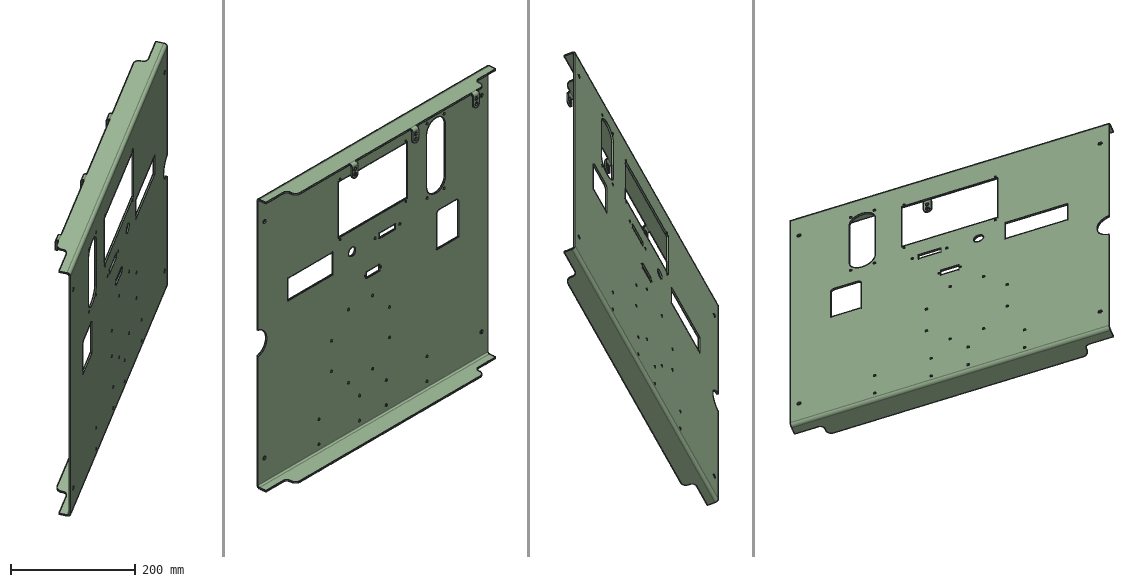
import cadquery as cq
import math

side = 550.0
half_side = side / 2
sheet = 3.0
bend_outer = 6.0
bend_inner = bend_outer - sheet

flange_depth = 40.0
flange_end_depth = 20.0
flange_step = 49.5
step_corner_radius = 10.0
step_inner_radius = 7.5

hook_depth = 46.0
hook_width = 14.0
hook_drop = 28.0
hook_pitch = 145.0
hook_middle_y = -55.0
hook_hole_diameter = 6.0
hook_hole_drops = (11.0, 21.0)

mount_hole_diameter = 6.5
mount_hole_y = 259.5
mount_hole_z = 224.5
screw_diameter = 4.1
small_screw_diameter = 3.0

screen_center = (0.0, 164.5)
screen_size = (165.5, 106.5)
screen_screw_center = (0.0, 164.0)
screen_screw_spacing = (157.5, 115.0)

slot_center = (-150.5, 160.5)
slot_width = 45.0
slot_length = 143.0
slot_screw_center = (-150.0, 160.0)
slot_screw_spacing = (40.5, 141.5)

display_center = (149.5, 69.5)
display_size = (108.5, 43.0)

button_center = (50.0, 70.5)
button_diameter = 17.0

reader_center = (-34.5, 70.5)
reader_size = (39.0, 10.5)
reader_screw_spacing = 59.5

port_center = (0.0, 10.0)
port_size = (32.0, 12.5)
port_screw_spacing = 37.0

tray_center = (-179.0, 17.5)
tray_size = (53.0, 73.5)
tray_corner_radius = 6.5

notch_radius = 25.5
notch_center = (half_side + 4.5, 0.0)

emblem_center = (29.5, -105.0)
emblem_screw_circle = 75.5
emblem_screw_count = 8

sign_screw_columns = (-129.0, -32.0, 32.0, 129.0)
sign_screw_rows = (-211.0, -258.5)


def around(center, spacing):
    """Four corner points of a rectangle of the given spacing."""
    return [
        (center[0] + sy * spacing[0] / 2, center[1] + sz * spacing[1] / 2)
        for sy in (-1, 1)
        for sz in (-1, 1)
    ]


def beside(center, spacing):
    """Two points spaced along Y on either side of a center."""
    return [(center[0] - spacing / 2, center[1]), (center[0] + spacing / 2, center[1])]


def panel_plane():
    """Sketch plane whose local x and y are the part's Y and Z."""
    return cq.Workplane("YZ", origin=(-hook_depth, 0, 0))


def make_folded_sheet():
    """C-shaped folded sheet over the full width, outer face of the panel on X = 0."""
    outer = (
        cq.Workplane("XZ", origin=(0, half_side, 0))
        .center(-flange_depth / 2, 0)
        .rect(flange_depth, side)
        .extrude(side)
        .edges("|Y and >X")
        .fillet(bend_outer)
    )
    inner = (
        cq.Workplane("XZ", origin=(0, half_side, 0))
        .center(-flange_depth / 2 - sheet, 0)
        .rect(flange_depth, side - 2 * sheet)
        .extrude(side)
        .edges("|Y and >X")
        .fillet(bend_inner)
    )
    return outer.cut(inner)


def make_step_cutter():
    """Material removed at the two ends of both flanges to leave the stepped outline."""
    step_y = half_side - flange_step
    inner_x = -flange_end_depth
    outer_x = -flange_depth
    one_end = (
        cq.Workplane("XY", origin=(0, 0, -half_side))
        .moveTo(inner_x, half_side)
        .lineTo(inner_x, step_y + step_inner_radius)
        .radiusArc((inner_x - step_inner_radius, step_y), step_inner_radius)
        .lineTo(outer_x + step_corner_radius, step_y)
        .radiusArc((outer_x, step_y - step_corner_radius), -step_corner_radius)
        .lineTo(outer_x, half_side)
        .close()
        .extrude(side)
    )
    return one_end.union(one_end.mirror("XZ"))


def make_hook(y):
    """Strip that leaves the top flange, bends down and ends in a round tip with two holes."""
    hook_root = -flange_end_depth
    length = hook_depth + hook_root
    center_x = hook_root - length / 2
    top = half_side
    outer = (
        cq.Workplane("XZ", origin=(0, y + hook_width / 2, 0))
        .center(center_x, top - hook_drop / 2)
        .rect(length, hook_drop)
        .extrude(hook_width)
        .edges("|Y and <X and >Z")
        .fillet(bend_outer)
    )
    inner = (
        cq.Workplane("XZ", origin=(0, y + hook_width / 2, 0))
        .center(center_x + sheet, top - sheet - hook_drop / 2)
        .rect(length, hook_drop)
        .extrude(hook_width)
        .edges("|Y and <X and >Z")
        .fillet(bend_inner)
    )
    rounded_strip = panel_plane().center(y, top).slot2D(2 * hook_drop, hook_width, 90).extrude(hook_depth)
    hook = outer.cut(inner).intersect(rounded_strip)
    holes = (
        panel_plane()
        .pushPoints([(y, top - drop) for drop in hook_hole_drops])
        .circle(hook_hole_diameter / 2)
        .extrude(sheet)
    )
    return hook.cut(holes)


def round_holes(points, diameter):
    """Round cutters through the panel at the given (Y, Z) points."""
    return panel_plane().pushPoints(points).circle(diameter / 2).extrude(hook_depth)


def rect_opening(center, size):
    """Rectangular cutter through the panel."""
    return panel_plane().center(*center).rect(*size).extrude(hook_depth)


body = make_folded_sheet().cut(make_step_cutter())

for center, size in (
    (screen_center, screen_size),
    (display_center, display_size),
    (reader_center, reader_size),
    (port_center, port_size),
):
    body = body.cut(rect_opening(center, size))
tray_opening = rect_opening(tray_center, tray_size).edges("|X and >Z").fillet(tray_corner_radius)
body = body.cut(tray_opening)
slot_opening = panel_plane().center(*slot_center).slot2D(slot_length, slot_width, 90).extrude(hook_depth)
body = body.cut(slot_opening)
body = body.cut(round_holes([button_center], button_diameter))
body = body.cut(round_holes([notch_center], 2 * notch_radius))

emblem_screws = []
for i in range(emblem_screw_count):
    angle = 2 * math.pi * (i + 0.5) / emblem_screw_count
    emblem_screws.append(
        (
            emblem_center[0] + emblem_screw_circle * math.cos(angle),
            emblem_center[1] + emblem_screw_circle * math.sin(angle),
        )
    )
sign_screws = [(y, z) for y in sign_screw_columns for z in sign_screw_rows]
screws = around(slot_screw_center, slot_screw_spacing) + beside(reader_center, reader_screw_spacing)
body = body.cut(round_holes(screws + emblem_screws + sign_screws, screw_diameter))

small_screws = around(screen_screw_center, screen_screw_spacing) + beside(port_center, port_screw_spacing)
body = body.cut(round_holes(small_screws, small_screw_diameter))

mount_holes = around((0, 0), (2 * mount_hole_y, 2 * mount_hole_z))
body = body.cut(round_holes(mount_holes, mount_hole_diameter))

for i in (-1, 0, 1):
    body = body.union(make_hook(hook_middle_y + i * hook_pitch))

result = body